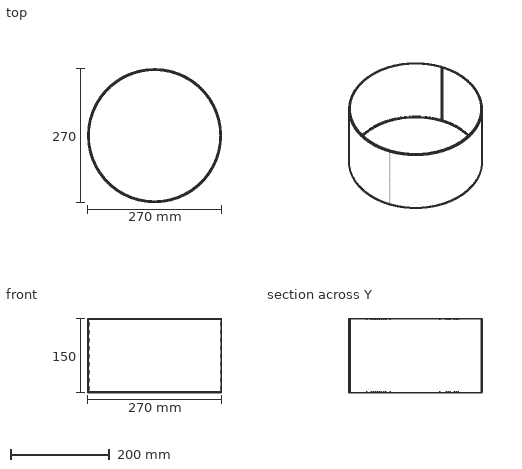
import cadquery as cq

outer_diameter = 270.0
height = 150.0
wall = 2.5
slit_width = 2.2
slit_start_y = 0.0
bevel_height = 2.0
bevel_depth = 0.8

outer_radius = outer_diameter / 2
inner_radius = outer_radius - wall
rim_radius = outer_radius - bevel_depth
half_height = height / 2
bevel_level = half_height - bevel_height

wall_section = (
    cq.Workplane("XZ")
    .moveTo(inner_radius, -half_height)
    .lineTo(rim_radius, -half_height)
    .lineTo(outer_radius, -bevel_level)
    .lineTo(outer_radius, bevel_level)
    .lineTo(rim_radius, half_height)
    .lineTo(inner_radius, half_height)
    .close()
)
band = wall_section.revolve(360, (0, 0, 0), (0, 1, 0))

slit = cq.Workplane("XY").box(
    outer_radius, slit_width, height, centered=(False, False, True)
).translate((-outer_radius, slit_start_y, 0))

result = band.cut(slit)